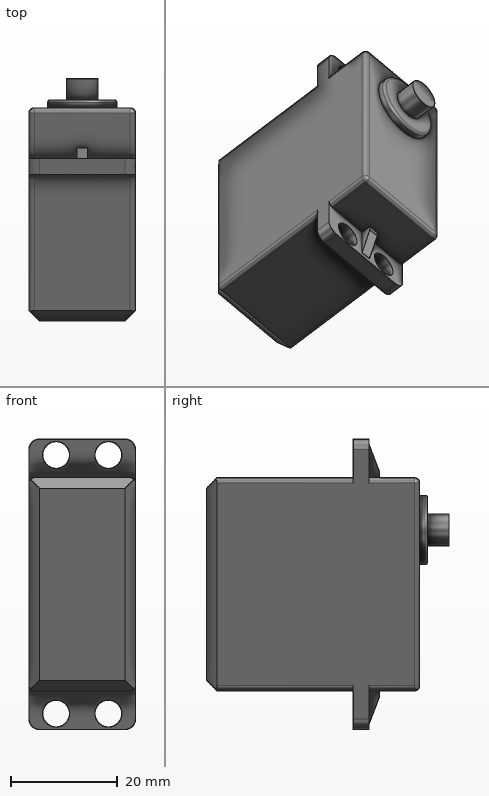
import cadquery as cq

CASE_WIDTH = 20.0
CASE_LENGTH = 40.0
CASE_HEIGHT = 40.0
CASE_EDGE_RADIUS = 1.0
FRONT_CHAMFER = 2.0

FLANGE_HEIGHT = 54.5
FLANGE_THICKNESS = 3.0
FLANGE_FRONT_Y = 27.5
FLANGE_BACK_Y = FLANGE_FRONT_Y + FLANGE_THICKNESS
FLANGE_CORNER_RADIUS = 2.0
MOUNT_HOLE_DIAMETER = 5.0
MOUNT_HOLE_SPACING_X = 9.8
MOUNT_HOLE_SPACING_Z = 48.5

RIB_WIDTH = 2.0
RIB_DEPTH = 2.0
RIB_ROOT_HEIGHT = 1.0
RIB_EMBED = 1.0
RIB_TIP_INSET = 1.0

OUTPUT_Z = 10.2
COLLAR_DIAMETER = 13.0
COLLAR_LENGTH = 1.5
COLLAR_EDGE_RADIUS = 0.5
SHAFT_DIAMETER = 6.0
SHAFT_LENGTH = 4.0


def plane_at(y):
    """Plane facing +Y at the given Y; its local axes run along Z and X."""
    return cq.Workplane(cq.Plane(origin=(0, y, 0), xDir=(0, 0, 1), normal=(0, 1, 0)))


def make_case():
    """Rounded block whose front rim is cut back by a mitred chamfer."""
    rounded = (
        plane_at(0)
        .rect(CASE_HEIGHT, CASE_WIDTH)
        .extrude(CASE_LENGTH)
        .edges("|Y or >Y")
        .fillet(CASE_EDGE_RADIUS)
    )
    mitred = (
        plane_at(0)
        .rect(CASE_HEIGHT, CASE_WIDTH)
        .extrude(CASE_LENGTH)
        .faces("<Y")
        .chamfer(FRONT_CHAMFER)
    )
    return rounded.intersect(mitred)


def make_flange():
    """Mounting plate with rounded corners."""
    return (
        plane_at(FLANGE_FRONT_Y)
        .rect(FLANGE_HEIGHT, CASE_WIDTH)
        .extrude(FLANGE_THICKNESS)
        .edges("|Y")
        .fillet(FLANGE_CORNER_RADIUS)
    )


def make_mount_holes():
    """Cutters for the four mounting holes."""
    return (
        plane_at(FLANGE_FRONT_Y)
        .rect(MOUNT_HOLE_SPACING_Z, MOUNT_HOLE_SPACING_X, forConstruction=True)
        .vertices()
        .circle(MOUNT_HOLE_DIAMETER / 2)
        .extrude(FLANGE_THICKNESS)
    )


def make_rib():
    """Upper gusset between the case top and the back of the flange."""
    case_top = CASE_HEIGHT / 2
    root_z = case_top - RIB_EMBED
    tip_z = FLANGE_HEIGHT / 2 - RIB_TIP_INSET
    rib_back_y = FLANGE_BACK_Y + RIB_DEPTH
    profile = [
        (FLANGE_BACK_Y, root_z),
        (rib_back_y, root_z),
        (rib_back_y, case_top + RIB_ROOT_HEIGHT),
        (FLANGE_BACK_Y, tip_z),
    ]
    return cq.Workplane("YZ").polyline(profile).close().extrude(RIB_WIDTH / 2, both=True)


def make_output():
    """Collar with a rounded rim, and the shaft standing on it."""
    collar = (
        plane_at(CASE_LENGTH)
        .center(OUTPUT_Z, 0)
        .circle(COLLAR_DIAMETER / 2)
        .extrude(COLLAR_LENGTH)
        .faces(">Y")
        .edges()
        .fillet(COLLAR_EDGE_RADIUS)
    )
    shaft = (
        plane_at(CASE_LENGTH + COLLAR_LENGTH)
        .center(OUTPUT_Z, 0)
        .circle(SHAFT_DIAMETER / 2)
        .extrude(SHAFT_LENGTH)
    )
    return collar.union(shaft)


upper_rib = make_rib()
lower_rib = upper_rib.mirror("XY")

result = (
    make_case()
    .union(make_flange())
    .union(upper_rib)
    .union(lower_rib)
    .union(make_output())
    .cut(make_mount_holes())
)